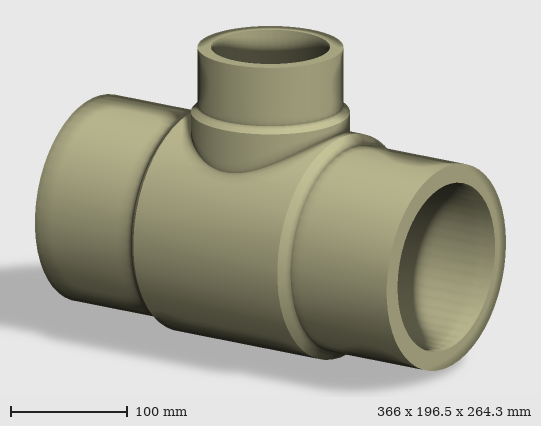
import cadquery as cq

run_length = 366.0
run_diameter = 180.0
run_bore = 147.0

body_length = 166.0
body_diameter = 196.5
body_bevel = (body_diameter - run_diameter) / 2

overall_height = 264.3
branch_top = overall_height - body_diameter / 2
branch_diameter = 125.0
branch_bore = 102.0
collar_diameter = 136.5
collar_top = 114.0
collar_bevel = (collar_diameter - branch_diameter) / 2


def run_cylinder(diameter, length):
    """Cylinder along X, centred on the origin."""
    return cq.Workplane("YZ", origin=(-length / 2, 0, 0)).circle(diameter / 2).extrude(length)


def branch_cylinder(diameter, top):
    """Cylinder along Z, from the run axis up to the given height."""
    return cq.Workplane("XY").circle(diameter / 2).extrude(top)


body = run_cylinder(body_diameter, body_length).faces("<X or >X").edges().chamfer(body_bevel)
run = run_cylinder(run_diameter, run_length).union(body)

collar = branch_cylinder(collar_diameter, collar_top).faces(">Z").edges().chamfer(collar_bevel)
branch = branch_cylinder(branch_diameter, branch_top).union(collar)

result = (
    run.union(branch)
    .cut(run_cylinder(run_bore, run_length))
    .cut(branch_cylinder(branch_bore, branch_top))
)